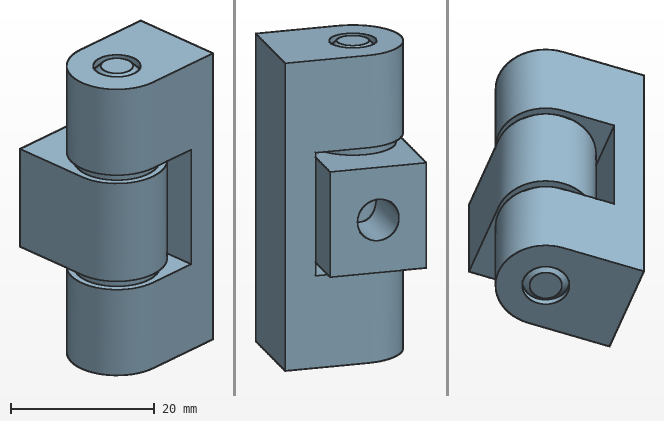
import cadquery as cq

hinge_height = 45.0
hinge_reach = 19.0
leaf_width = 14.0
frame_web = 4.4
slot_height = 18.0
block_height = 15.4
pin_diameter = 6.55
pin_chamfer = 1.05
washer_diameter = 12.0
mount_hole_diameter = 6.05

knuckle_radius = leaf_width / 2
flat_length = hinge_reach - knuckle_radius
washer_thickness = (slot_height - block_height) / 2


def make_leaf(height):
    """Leaf with a square end at +Y, a knuckle round the hinge axis and a pin bore."""
    return (
        cq.Workplane("XY")
        .moveTo(-knuckle_radius, 0)
        .lineTo(-knuckle_radius, flat_length)
        .lineTo(knuckle_radius, flat_length)
        .lineTo(knuckle_radius, 0)
        .threePointArc((0, -knuckle_radius), (-knuckle_radius, 0))
        .close()
        .extrude(height / 2, both=True)
        .faces(">Z")
        .workplane(origin=(0, 0, 0))
        .hole(pin_diameter)
    )


def make_frame():
    """Fixed leaf with two knuckles, separated by a slot open at the front and sides."""
    slot_length = hinge_reach - frame_web
    slot = (
        cq.Workplane("XY")
        .box(leaf_width, slot_length, slot_height, centered=(True, False, True))
        .translate((0, -knuckle_radius, 0))
    )
    return make_leaf(hinge_height).cut(slot)


def make_block():
    """Swinging leaf, turned to -X, with a mounting hole running in to the pin bore."""
    mount_hole = (
        cq.Workplane("YZ")
        .workplane(offset=-flat_length)
        .circle(mount_hole_diameter / 2)
        .extrude(flat_length)
    )
    return make_leaf(block_height).rotate((0, 0, 0), (0, 0, 1), 90).cut(mount_hole)


def make_pin():
    """Hinge pin with chamfered ends, flush with both ends of the frame."""
    return (
        cq.Workplane("XY")
        .workplane(offset=-hinge_height / 2)
        .circle(pin_diameter / 2)
        .extrude(hinge_height)
        .faces("<Z or >Z")
        .chamfer(pin_chamfer)
    )


def make_washer(bottom):
    """Washer round the pin, filling the gap between the block and a frame knuckle."""
    return (
        cq.Workplane("XY")
        .workplane(offset=bottom)
        .circle(washer_diameter / 2)
        .circle(pin_diameter / 2)
        .extrude(washer_thickness)
    )


frame = make_frame()
block = make_block()
pin = make_pin()
washers = [make_washer(bottom) for bottom in (-slot_height / 2, block_height / 2)]

result = cq.Compound.makeCompound(
    [frame.val(), block.val(), pin.val(), *[washer.val() for washer in washers]]
)